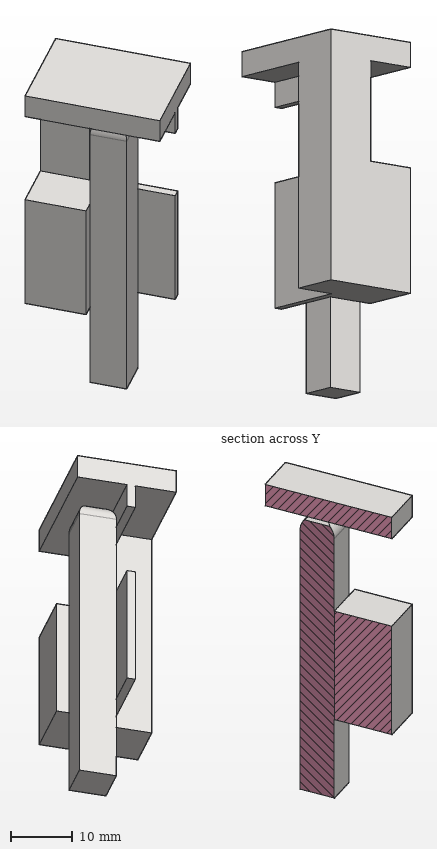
import cadquery as cq

DEPTH = 16.8
MODULE = DEPTH / 4
TOTAL_HEIGHT = 57.15
WIDTH = 23.15
HOUSING_HEIGHT = 10 * MODULE
CAP_THICKNESS = MODULE
BLOCK_HEIGHT = 5 * MODULE
BACK_THICKNESS = 2 * MODULE
WEB_THICKNESS = 1.4
WINDOW_HEIGHT = 3 * MODULE
POST_WIDTH = 2 * MODULE

BAR_SIDE = 1.5 * MODULE
BAR_X = 2.5 * MODULE
BAR_BACK_Y = DEPTH - BACK_THICKNESS
CROWN_HEIGHT = 2.8
CROWN_RADIUS = BAR_SIDE / 2

HOUSING_BOTTOM = TOTAL_HEIGHT - HOUSING_HEIGHT
CAP_BOTTOM = TOTAL_HEIGHT - CAP_THICKNESS
BLOCK_TOP = HOUSING_BOTTOM + BLOCK_HEIGHT
SHOULDER_Z = CAP_BOTTOM - CROWN_HEIGHT


def box(x, y, z, width, depth, height):
    """Box with its lowest corner at (x, y, z)."""
    return cq.Workplane("XY").box(width, depth, height, centered=False).translate((x, y, z))


def make_housing():
    """Back post and thin web with an open-sided window, a full cap and a block beside the bar."""
    post = box(0, BAR_BACK_Y, HOUSING_BOTTOM, POST_WIDTH, BACK_THICKNESS, HOUSING_HEIGHT)
    web = box(0, BAR_BACK_Y, HOUSING_BOTTOM, WIDTH, WEB_THICKNESS, HOUSING_HEIGHT)
    cap = box(0, 0, CAP_BOTTOM, WIDTH, DEPTH, CAP_THICKNESS)
    block = box(0, 0, HOUSING_BOTTOM, BAR_X, BAR_BACK_Y, BLOCK_HEIGHT)
    window = box(
        POST_WIDTH, BAR_BACK_Y, BLOCK_TOP, WIDTH - POST_WIDTH, WEB_THICKNESS, WINDOW_HEIGHT
    )
    return post.union(web).union(cap).union(block).cut(window)


def crowned_prism(plane):
    """Round-topped profile on the given plane, extruded across the bar's side."""
    return (
        cq.Workplane(plane)
        .moveTo(-CROWN_RADIUS, 0)
        .lineTo(-CROWN_RADIUS, SHOULDER_Z)
        .threePointArc((0, SHOULDER_Z + CROWN_RADIUS), (CROWN_RADIUS, SHOULDER_Z))
        .lineTo(CROWN_RADIUS, 0)
        .close()
        .extrude(BAR_SIDE / 2, both=True)
    )


def make_bar():
    """Square bar, crowned both ways, with a flat where it meets the cap."""
    crowned = crowned_prism("XZ").intersect(crowned_prism("YZ"))
    center = (BAR_X + BAR_SIDE / 2, BAR_BACK_Y - BAR_SIDE / 2, 0)
    limit = box(BAR_X, BAR_BACK_Y - BAR_SIDE, 0, BAR_SIDE, BAR_SIDE, CAP_BOTTOM)
    return crowned.translate(center).intersect(limit)


housing = make_housing()
bar = make_bar()
result = cq.Compound.makeCompound([housing.val(), bar.val()])